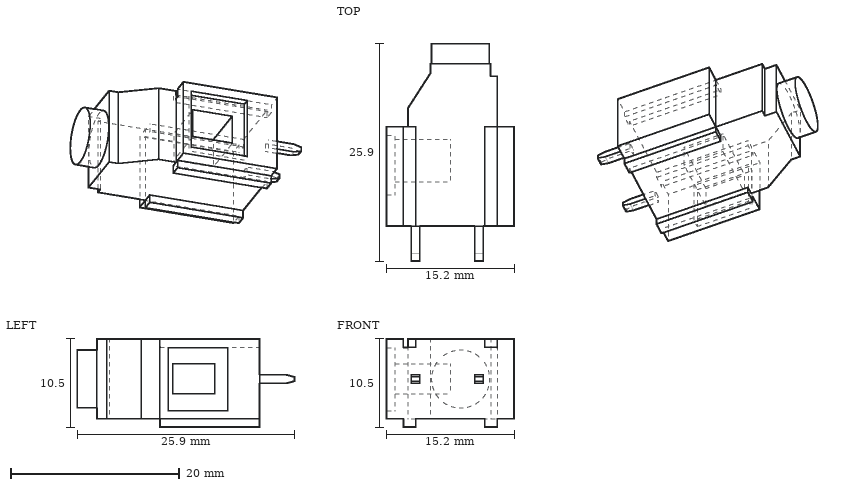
import cadquery as cq

block_width = 15.23
block_length = 11.85
body_height = 9.53

rail_inner = 4.1
rail_outer = 5.6
rail_width = rail_outer - rail_inner
rail_center = (rail_inner + rail_outer) / 2
groove_depth = 1.0
foot_height = 0.98

neck_left = -5.05
neck_right = rail_outer
nose_left = -2.38
nose_right = 4.8
nose_end = 19.37
step_length = 1.5
taper_start = 14.06
taper_end = 18.2

collar_diameter = 6.92
collar_length = 2.35
collar_x = (nose_left + nose_right) / 2

recess_start = 3.75
recess_length = 7.1
recess_bottom = 0.98
recess_height = 7.45
recess_depth = 1.0
window_start = 5.3
window_length = 5.02
window_bottom = 2.98
window_height = 3.57
window_floor_x = 0

pin_positions = (-4.15, 3.42)
pin_size = 1.04
pin_tip_size = 0.52
pin_length = 4.17
pin_tip_length = 0.95
pin_z = body_height / 2 - 0.03


def box(x, y, z, width, length, height):
    """Box centred on x, with its lowest corner at y and z."""
    return cq.Workplane("XY").box(width, length, height, centered=(True, False, False)).translate((x, y, z))


def side_pocket(floor_x, start, bottom, length, height):
    """Rectangular cutter reaching from the left face to floor_x."""
    left_face = -block_width / 2
    depth = floor_x - left_face
    return box(left_face + depth / 2, start, bottom, depth, length, height)


def make_housing():
    housing = box(0, 0, 0, block_width, block_length, body_height)
    for side in (-1, 1):
        x = side * rail_center
        groove = box(x, 0, body_height - groove_depth, rail_width, block_length, groove_depth)
        foot = box(x, 0, -foot_height, rail_width, block_length, foot_height)
        housing = housing.cut(groove).union(foot)
    return housing


def make_neck():
    outline = [
        (neck_left, block_length),
        (neck_left, taper_start),
        (nose_left, taper_end),
        (nose_left, nose_end),
        (nose_right, nose_end),
        (nose_right, nose_end - step_length),
        (neck_right, nose_end - step_length),
        (neck_right, block_length),
    ]
    return cq.Workplane("XY").polyline(outline).close().extrude(body_height)


def make_collar():
    return (
        cq.Workplane("XZ", origin=(collar_x, nose_end, body_height / 2))
        .circle(collar_diameter / 2)
        .extrude(-collar_length)
    )


def make_pin(x):
    """Square pin whose end is tapered above and below."""
    shoulder = pin_tip_length - pin_length
    profile = [
        (0, pin_z - pin_size / 2),
        (shoulder, pin_z - pin_size / 2),
        (-pin_length, pin_z - pin_tip_size / 2),
        (-pin_length, pin_z + pin_tip_size / 2),
        (shoulder, pin_z + pin_size / 2),
        (0, pin_z + pin_size / 2),
    ]
    pin = cq.Workplane("YZ").polyline(profile).close().extrude(pin_size / 2, both=True)
    return pin.translate((x, 0, 0))


result = make_housing().union(make_neck()).union(make_collar())

recess_floor_x = recess_depth - block_width / 2
result = result.cut(side_pocket(recess_floor_x, recess_start, recess_bottom, recess_length, recess_height))
result = result.cut(side_pocket(window_floor_x, window_start, window_bottom, window_length, window_height))

for pin_x in pin_positions:
    result = result.union(make_pin(pin_x))